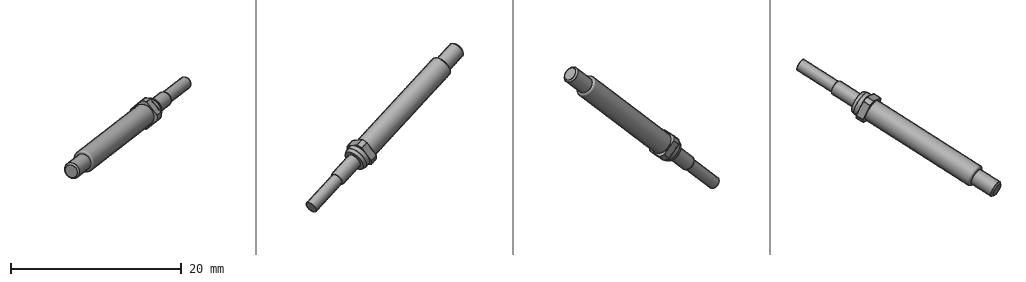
import cadquery as cq

overall_length = 28.3
plunger_length = 3.0
barrel_length = 15.0
collar_length = 1.0
shoulder_length = 1.0
tail_length = 5.0

plunger_diameter = 2.0
barrel_diameter = 2.7
shoulder_diameter = 3.0
neck_diameter = 1.8
tail_diameter = 1.5

collar_diameter = 3.6
collar_across_flats = 3.0

plunger_chamfer = 0.2
barrel_fillet = 0.23
shoulder_chamfer_length = 0.42
shoulder_chamfer_depth = 0.15
neck_fillet = 0.2

barrel_start = plunger_length
collar_start = barrel_start + barrel_length
shoulder_start = collar_start + collar_length
neck_start = shoulder_start + shoulder_length
tail_start = overall_length - tail_length


def rod(start, end, diameter):
    """Round bar along Y between two stations."""
    return cq.Workplane("XZ", origin=(0, start, 0)).circle(diameter / 2).extrude(start - end)


def collar():
    """Square collar with flats at 45 degrees and rounded corners."""
    square = (
        cq.Workplane("XZ", origin=(0, collar_start, 0))
        .transformed(rotate=(0, 0, 45))
        .rect(collar_across_flats, collar_across_flats)
        .extrude(-collar_length)
    )
    return square.intersect(rod(collar_start, shoulder_start, collar_diameter))


def shoulder():
    """Round shoulder behind the collar, with a long shallow chamfer at its far end."""
    radius = shoulder_diameter / 2
    half_section = (
        cq.Workplane("XY")
        .moveTo(0, shoulder_start)
        .lineTo(radius, shoulder_start)
        .lineTo(radius, neck_start - shoulder_chamfer_length)
        .lineTo(radius - shoulder_chamfer_depth, neck_start)
        .lineTo(0, neck_start)
        .close()
    )
    return half_section.revolve(360, (0, 0, 0), (0, 1, 0))


plunger = rod(0, barrel_start, plunger_diameter).faces("<Y").chamfer(plunger_chamfer)
barrel = rod(barrel_start, collar_start, barrel_diameter).faces("<Y").edges().fillet(barrel_fillet)
neck = rod(neck_start, tail_start, neck_diameter).faces(">Y").edges().fillet(neck_fillet)
tail = rod(tail_start, overall_length, tail_diameter)

result = plunger.union(barrel).union(collar()).union(shoulder()).union(neck).union(tail)